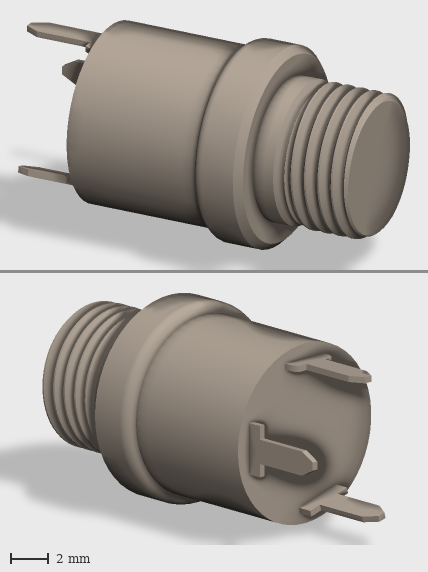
import cadquery as cq
import math

overall_length = 20.83
pin_length = 4.78
front_face_x = overall_length - pin_length
body_radius = 9.89 / 2
body_length = 7.65

flange_radius = 11.02 / 2
flange_thickness = 2.91
flange_round = 0.55
flange_cone_angle = math.radians(60)
flange_chamfer = 0.4
flange_front_x = body_length + flange_thickness

collar_length = 1.2
thread_major_radius = 7.92 / 2
thread_root_radius = 6.93 / 2
thread_depth = thread_major_radius - thread_root_radius
thread_pitch = 25.4 / 32
crest_flat = thread_pitch / 8
flank_angle = math.radians(30)
flank_run = thread_depth * math.tan(flank_angle)
groove_clearance = 0.05
nose_chamfer = 0.3

relief_start_x = flange_front_x + collar_length
relief_floor_width = 0.1

top_crest_x = 12.65

pin_offset = 3.95
pin_thickness = 0.34
blade_width = 1.33
tip_width = 0.45
tip_taper_length = 0.8
shoulder_width = 2.82
shoulder_length = 0.81
rounded_shoulder_end_width = 2.4
shoulder_curve_length = 0.57
pin_embed = 0.5

rounded_pin_angle = 0
square_pin_angles = (-90, 165)


def turned_body():
    """Body, filleted flange, collar, relief groove and unthreaded nose as one revolve."""
    round_center_r = flange_radius - flange_round
    cone_end_r = round_center_r + flange_round * math.cos(flange_cone_angle)
    cone_length = (cone_end_r - body_radius) / math.tan(flange_cone_angle)
    cone_end_x = body_length + cone_length
    round_center_x = cone_end_x + flange_round * math.sin(flange_cone_angle)
    round_middle = (
        round_center_x - flange_round * math.sin(flange_cone_angle / 2),
        round_center_r + flange_round * math.cos(flange_cone_angle / 2),
    )
    relief_floor_x = relief_start_x + flank_run
    relief_floor_end_x = relief_floor_x + relief_floor_width

    profile = (
        cq.Workplane("XY")
        .moveTo(0, 0)
        .lineTo(0, body_radius)
        .lineTo(body_length, body_radius)
        .lineTo(cone_end_x, cone_end_r)
        .threePointArc(round_middle, (round_center_x, flange_radius))
        .lineTo(flange_front_x - flange_chamfer, flange_radius)
        .lineTo(flange_front_x, flange_radius - flange_chamfer)
        .lineTo(flange_front_x, thread_major_radius)
        .lineTo(relief_start_x, thread_major_radius)
        .lineTo(relief_floor_x, thread_root_radius)
        .lineTo(relief_floor_end_x, thread_root_radius)
        .lineTo(relief_floor_end_x + flank_run, thread_major_radius)
        .lineTo(front_face_x - nose_chamfer, thread_major_radius)
        .lineTo(front_face_x, thread_major_radius - nose_chamfer)
        .lineTo(front_face_x, 0)
        .close()
    )
    return profile.revolve(360, (0, 0, 0), (1, 0, 0))


def groove_start_x():
    """Middle of the first groove turn, whose rear flank is the rear wall of the relief groove."""
    return relief_start_x + (thread_pitch - crest_flat) / 2


def groove_turn():
    """First full turn of the V-shaped thread groove, swept along a helix."""
    root_half = (thread_pitch - crest_flat) / 2 - flank_run
    outer_half = root_half + (thread_depth + groove_clearance) * math.tan(flank_angle)
    outer_radius = thread_major_radius + groove_clearance
    start_turn = 360 * (groove_start_x() - top_crest_x) / thread_pitch

    helix = cq.Wire.makeHelix(thread_pitch, thread_pitch, thread_root_radius)
    groove = (
        cq.Workplane("XZ")
        .polyline([
            (thread_root_radius, -root_half),
            (outer_radius, -outer_half),
            (outer_radius, outer_half),
            (thread_root_radius, root_half),
        ])
        .close()
        .sweep(cq.Workplane(obj=helix), isFrenet=True)
    )
    return (
        groove.rotate((0, 0, 0), (0, 1, 0), 90)
        .rotate((0, 0, 0), (1, 0, 0), start_turn)
        .translate((groove_start_x(), 0, 0))
    )


def cut_thread(body):
    """Cut the groove one turn after another, until it has run out past the front face."""
    turn = groove_turn()
    turn_count = math.ceil((front_face_x - groove_start_x()) / thread_pitch) + 1
    for index in range(turn_count):
        body = body.cut(turn.translate((index * thread_pitch, 0, 0)))
    return body


def blade():
    """Tapered blade of the top pin, reaching from its tip to the body."""
    taper_end_x = tip_taper_length - pin_length
    return (
        cq.Workplane("XY", origin=(0, 0, pin_offset - pin_thickness / 2))
        .moveTo(pin_embed, -blade_width / 2)
        .lineTo(taper_end_x, -blade_width / 2)
        .lineTo(-pin_length, -tip_width / 2)
        .lineTo(-pin_length, tip_width / 2)
        .lineTo(taper_end_x, blade_width / 2)
        .lineTo(pin_embed, blade_width / 2)
        .close()
        .extrude(pin_thickness)
    )


def square_shoulder():
    """Plain rectangular shoulder at the root of a pin."""
    return cq.Workplane("XY").box(
        shoulder_length + pin_embed, shoulder_width, pin_thickness, centered=(False, True, True)
    ).translate((-shoulder_length, 0, pin_offset))


def rounded_shoulder():
    """Shoulder whose sides curve inward toward the blade, tangent to the straight part."""
    half = shoulder_width / 2
    end_half = rounded_shoulder_end_width / 2
    drop = half - end_half
    curve_end_x = shoulder_curve_length - shoulder_length
    return (
        cq.Workplane("XY", origin=(0, 0, pin_offset - pin_thickness / 2))
        .moveTo(pin_embed, half)
        .lineTo(curve_end_x, half)
        .tangentArcPoint((-shoulder_curve_length, -drop))
        .lineTo(-shoulder_length, -end_half)
        .radiusArc((curve_end_x, -half), -(shoulder_curve_length**2 + drop**2) / (2 * drop))
        .lineTo(pin_embed, -half)
        .close()
        .extrude(pin_thickness)
    )


def place_pin(pin, angle):
    return pin.rotate((0, 0, 0), (1, 0, 0), angle)


result = cut_thread(turned_body())
result = result.union(place_pin(blade().union(rounded_shoulder()), rounded_pin_angle))
for pin_angle in square_pin_angles:
    result = result.union(place_pin(blade().union(square_shoulder()), pin_angle))